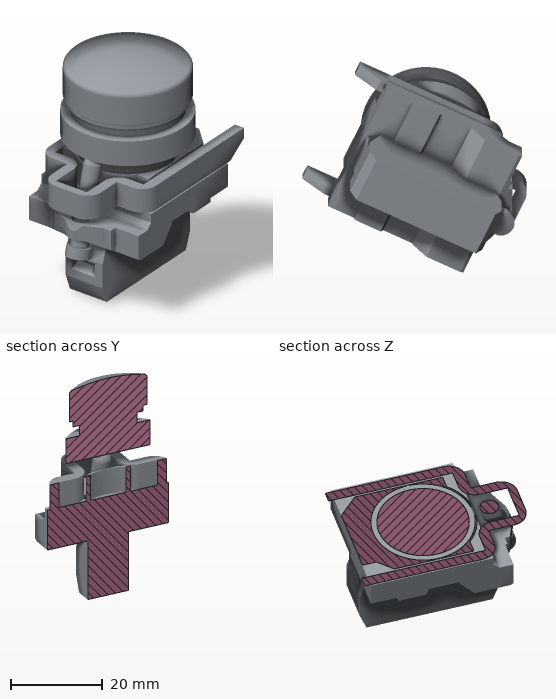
import cadquery as cq
import math


OVERALL_HEIGHT = 54.18

DOME_TOP = 20.0
DOME_RADIUS = 40.0
CAP_RADIUS = 14.25
CAP_FILLET = 1.0
CAP_BOTTOM = 9.95
STEP_RADIUS = 13.6
STEP_BOTTOM = 8.55
WAIST_RADIUS = 12.7
RING_RADIUS = 14.8
RING_HEIGHT = 6.15
NECK_RADIUS = 10.1
NECK_STEP = -3.67
NECK_FOOT_RADIUS = 10.15

LEVER_TOP = -4.15
LEVER_BOTTOM = -10.13
LEVER_HALF_WIDTH = 14.6
LEVER_THICKNESS = 2.52
LEVER_FRONT = -13.0
LEVER_BACK = 22.93
LEVER_TIP_HEIGHT = 2.5
LEVER_SLOPE_LENGTH = 5.05
LOOP_HALF_WIDTH = 6.75
LOOP_FRONT = -22.55
LOOP_FRONT_THICKNESS = 1.93
LEVER_CORNER_RADIUS = 3.75

COLLAR_TOP = -4.0
COLLAR_HALF_WIDTH = 11.65
COLLAR_SHOULDER = -8.1
COLLAR_NOSE_RADIUS = 11.85
COLLAR_FRONT = -11.5
LEFT_NOTCH_X = -8.5
LEFT_NOTCH_Y = 13.3
CORNER_CUT = 4.5
COLLAR_BORE_RADIUS = 11.35

BASE_HALF_WIDTH = 14.95
BASE_BACK = 16.5
BASE_FRONT = -16.15
BASE_BOTTOM = -19.95
BASE_BACK_BOTTOM = -15.88
FOOT_BACK = 10.2
FOOT_FRONT = 3.86
FOOT_BOTTOM = -16.93
NOTCH_BACK = 3.2
NOTCH_FRONT = -3.85
NOTCH_TOP = -15.35
SHELF_SLOPE_END = -7.22
SHELF_TOP = -13.62
SHELF_BACK = -12.95
SHELF_CHAMFER_TOP = -12.25
UNDERCUT_START = -15.45
UNDERCUT_END = -19.5
TAB_HALF_WIDTH = 8.65
LEFT_TAB_FRONT = -16.72
NOSE_SIDE = -17.77
NOSE_FRONT = -20.35
NOSE_FLAT_HALF_WIDTH = 0.82
NOSE_BOTTOM = -17.5
NOSE_CHAMFER_BOTTOM = -15.18
NOSE_CHAMFER_BACK = -19.68
SCREW_HOLE_RADIUS = 2.15
SCREW_HOLE_Y = -17.07

BLOCK_HALF_WIDTH = 5.03
BLOCK_HALF_LENGTH = 15.95
BLOCK_BOTTOM = DOME_TOP - OVERALL_HEIGHT
LOWER_BEVEL_TOP = -30.1
UPPER_BEVEL_BOTTOM = -24.1
UPPER_BEVEL_SLOPE = 0.335
LOWER_BEVEL_DEPTH = 1.52
BLOCK_TOP = NOTCH_TOP
SLOT_LEFT = -3.44
SLOT_RIGHT = 2.94
SLOT_TOP = -24.64
SLOT_BOTTOM = -28.0
SLOT_DEPTH = 2.85
SLOT_TILT = 18.5

SCREW_TILT = 15.0
SCREW_X = 0.08
SCREW_HEAD_Y = -18.54
SCREW_HEAD_Z = -22.6
SCREW_HEAD_RADIUS = 2.8
SCREW_HEAD_HEIGHT = 2.5
SHANK_RADIUS = 2.05
SHANK_END = 21.45
SCREW_TIP_HEIGHT = 1.75


def make_head():
    """Stepped round head with a domed cap whose rim is rounded tangent to dome and side.

    The neck goes down through the collar bore and stands on the base.
    """
    dome_center = DOME_TOP - DOME_RADIUS
    rim_r = CAP_RADIUS - CAP_FILLET
    rim_z = dome_center + math.sqrt((DOME_RADIUS - CAP_FILLET) ** 2 - rim_r ** 2)
    edge_angle = math.asin(rim_r / (DOME_RADIUS - CAP_FILLET))

    def dome_point(angle):
        return (DOME_RADIUS * math.sin(angle), dome_center + DOME_RADIUS * math.cos(angle))

    def rim_point(angle):
        return (rim_r + CAP_FILLET * math.sin(angle), rim_z + CAP_FILLET * math.cos(angle))

    return (
        cq.Workplane("XZ")
        .moveTo(0, LEVER_BOTTOM)
        .lineTo(NECK_FOOT_RADIUS, LEVER_BOTTOM)
        .lineTo(NECK_FOOT_RADIUS, NECK_STEP)
        .lineTo(NECK_RADIUS, NECK_STEP)
        .lineTo(NECK_RADIUS, 0)
        .lineTo(RING_RADIUS, 0)
        .lineTo(RING_RADIUS, RING_HEIGHT)
        .lineTo(WAIST_RADIUS, RING_HEIGHT)
        .lineTo(WAIST_RADIUS, STEP_BOTTOM)
        .lineTo(STEP_RADIUS, STEP_BOTTOM)
        .lineTo(STEP_RADIUS, CAP_BOTTOM)
        .lineTo(CAP_RADIUS, CAP_BOTTOM)
        .lineTo(*rim_point(math.pi / 2))
        .threePointArc(rim_point((math.pi / 2 + edge_angle) / 2), dome_point(edge_angle))
        .threePointArc(dome_point(edge_angle / 2), dome_point(0))
        .close()
        .revolve(360, (0, 0, 0), (0, 1, 0))
    )


def make_lever():
    """U-shaped strip around the collar, with a narrower loop in front for the screw."""
    height = LEVER_TOP - LEVER_BOTTOM
    level = cq.Workplane("XY", origin=(0, 0, LEVER_BOTTOM))

    def frame(half_width, front, loop_half_width, loop_front):
        return level.polyline([
            (-half_width, LEVER_BACK),
            (-half_width, front),
            (-loop_half_width, front),
            (-loop_half_width, loop_front),
            (loop_half_width, loop_front),
            (loop_half_width, front),
            (half_width, front),
            (half_width, LEVER_BACK),
        ]).close().extrude(height)

    def round_corners(solid, half_width, y):
        for x in (-half_width, half_width):
            corner = cq.selectors.NearestToPointSelector((x, y, LEVER_BOTTOM + height / 2))
            solid = solid.edges("|Z").edges(corner).fillet(LEVER_CORNER_RADIUS)
        return solid

    inner_loop_half_width = LOOP_HALF_WIDTH - LEVER_THICKNESS
    inner_front = LEVER_FRONT + LEVER_THICKNESS
    outside = frame(LEVER_HALF_WIDTH, LEVER_FRONT, LOOP_HALF_WIDTH, LOOP_FRONT)
    outside = round_corners(outside, LEVER_HALF_WIDTH, LEVER_FRONT)
    outside = round_corners(outside, LOOP_HALF_WIDTH, LOOP_FRONT)
    inside = frame(
        LEVER_HALF_WIDTH - LEVER_THICKNESS,
        inner_front,
        inner_loop_half_width,
        LOOP_FRONT + LOOP_FRONT_THICKNESS,
    )
    inside = round_corners(inside, inner_loop_half_width, inner_front)

    side_profile = (
        cq.Workplane("YZ")
        .polyline([
            (LEVER_BACK, LEVER_TOP),
            (LEVER_BACK, LEVER_TOP - LEVER_TIP_HEIGHT),
            (LEVER_BACK - LEVER_SLOPE_LENGTH, LEVER_BOTTOM),
            (LOOP_FRONT, LEVER_BOTTOM),
            (LOOP_FRONT, LEVER_TOP),
        ])
        .close()
        .extrude(LEVER_HALF_WIDTH, both=True)
    )
    return outside.cut(inside).intersect(side_profile)


def make_collar():
    """Raised collar between the lever arms, with a rounded front and a bore around the neck."""
    shoulder_x = math.sqrt(COLLAR_NOSE_RADIUS ** 2 - COLLAR_SHOULDER ** 2)
    front_x = math.sqrt(COLLAR_NOSE_RADIUS ** 2 - COLLAR_FRONT ** 2)
    arc_angle = (math.atan2(shoulder_x, -COLLAR_SHOULDER) + math.atan2(front_x, -COLLAR_FRONT)) / 2
    arc_x = COLLAR_NOSE_RADIUS * math.sin(arc_angle)
    arc_y = -COLLAR_NOSE_RADIUS * math.cos(arc_angle)
    notch_drop = COLLAR_HALF_WIDTH + LEFT_NOTCH_X
    plate = (
        cq.Workplane("XY", origin=(0, 0, LEVER_BOTTOM))
        .moveTo(-COLLAR_HALF_WIDTH, COLLAR_SHOULDER)
        .lineTo(-shoulder_x, COLLAR_SHOULDER)
        .threePointArc((-arc_x, arc_y), (-front_x, COLLAR_FRONT))
        .lineTo(front_x, COLLAR_FRONT)
        .threePointArc((arc_x, arc_y), (shoulder_x, COLLAR_SHOULDER))
        .lineTo(COLLAR_HALF_WIDTH, COLLAR_SHOULDER)
        .lineTo(COLLAR_HALF_WIDTH, BASE_BACK - CORNER_CUT)
        .lineTo(COLLAR_HALF_WIDTH - CORNER_CUT, BASE_BACK)
        .lineTo(LEFT_NOTCH_X, BASE_BACK)
        .lineTo(LEFT_NOTCH_X, LEFT_NOTCH_Y)
        .lineTo(-COLLAR_HALF_WIDTH, LEFT_NOTCH_Y - notch_drop)
        .close()
        .extrude(COLLAR_TOP - LEVER_BOTTOM)
    )
    bore = (
        cq.Workplane("XY", origin=(0, 0, LEVER_BOTTOM))
        .circle(COLLAR_BORE_RADIUS)
        .extrude(COLLAR_TOP - LEVER_BOTTOM)
    )
    return plate.cut(bore)


def make_base():
    """Stepped side profile, cut to a plan with two front tabs and a tapered nose.

    A vertical screw hole passes through the nose.
    """
    side = (
        cq.Workplane("YZ")
        .polyline([
            (BASE_BACK, LEVER_BOTTOM),
            (BASE_BACK, BASE_BACK_BOTTOM),
            (FOOT_BACK, BASE_BACK_BOTTOM),
            (FOOT_BACK, FOOT_BOTTOM),
            (FOOT_FRONT, FOOT_BOTTOM),
            (NOTCH_BACK, NOTCH_TOP),
            (NOTCH_FRONT, NOTCH_TOP),
            (NOTCH_FRONT, BASE_BACK_BOTTOM),
            (SHELF_SLOPE_END, BASE_BOTTOM),
            (UNDERCUT_START, BASE_BOTTOM),
            (UNDERCUT_END, NOSE_BOTTOM),
            (NOSE_FRONT, NOSE_BOTTOM),
            (NOSE_FRONT, NOSE_CHAMFER_BOTTOM),
            (NOSE_CHAMFER_BACK, SHELF_TOP),
            (SHELF_BACK, SHELF_TOP),
            (COLLAR_FRONT, SHELF_CHAMFER_TOP),
            (COLLAR_FRONT, LEVER_BOTTOM),
        ])
        .close()
        .extrude(BASE_HALF_WIDTH, both=True)
    )
    plan = (
        cq.Workplane("XY", origin=(0, 0, BASE_BOTTOM))
        .polyline([
            (-BASE_HALF_WIDTH, BASE_BACK),
            (-BASE_HALF_WIDTH, BASE_FRONT),
            (-TAB_HALF_WIDTH, BASE_FRONT),
            (-TAB_HALF_WIDTH, LEFT_TAB_FRONT),
            (-LOOP_HALF_WIDTH, LEFT_TAB_FRONT),
            (-LOOP_HALF_WIDTH, NOSE_SIDE),
            (-NOSE_FLAT_HALF_WIDTH, NOSE_FRONT),
            (NOSE_FLAT_HALF_WIDTH, NOSE_FRONT),
            (LOOP_HALF_WIDTH, NOSE_SIDE),
            (TAB_HALF_WIDTH, NOSE_SIDE),
            (TAB_HALF_WIDTH, BASE_FRONT),
            (BASE_HALF_WIDTH, BASE_FRONT),
            (BASE_HALF_WIDTH, BASE_BACK),
        ])
        .close()
        .extrude(LEVER_BOTTOM - BASE_BOTTOM)
    )
    screw_hole = (
        cq.Workplane("XY", origin=(SCREW_X, SCREW_HOLE_Y, BASE_BOTTOM))
        .circle(SCREW_HOLE_RADIUS)
        .extrude(LEVER_BOTTOM - BASE_BOTTOM)
    )
    return side.intersect(plan).cut(screw_hole)


def make_contact_block():
    """Beveled block with a sloping slot in front and a narrow back rib filling the back bevel."""
    upper_bevel_run = (BLOCK_TOP - UPPER_BEVEL_BOTTOM) * UPPER_BEVEL_SLOPE
    top_half_length = BLOCK_HALF_LENGTH - upper_bevel_run
    half_outline = [
        (top_half_length, BLOCK_TOP),
        (BLOCK_HALF_LENGTH, UPPER_BEVEL_BOTTOM),
        (BLOCK_HALF_LENGTH, LOWER_BEVEL_TOP),
        (BLOCK_HALF_LENGTH - LOWER_BEVEL_DEPTH, BLOCK_BOTTOM),
    ]
    mirrored_half = [(-y, z) for y, z in reversed(half_outline)]
    block = (
        cq.Workplane("YZ")
        .polyline(half_outline + mirrored_half)
        .close()
        .extrude(BLOCK_HALF_WIDTH, both=True)
    )

    slot_width = SLOT_RIGHT - SLOT_LEFT
    slot_center_x = (SLOT_LEFT + SLOT_RIGHT) / 2
    rib_height = BLOCK_TOP - UPPER_BEVEL_BOTTOM
    rib = cq.Workplane("XY").box(slot_width, upper_bevel_run, rib_height).translate((
        slot_center_x,
        BLOCK_HALF_LENGTH - upper_bevel_run / 2,
        UPPER_BEVEL_BOTTOM + rib_height / 2,
    ))

    slot_height = (SLOT_TOP - SLOT_BOTTOM) * math.cos(math.radians(SLOT_TILT))
    slot = (
        cq.Workplane("XY")
        .box(slot_width, 2 * SLOT_DEPTH, slot_height, centered=(True, True, False))
        .rotate((0, 0, 0), (1, 0, 0), SLOT_TILT)
        .translate((slot_center_x, -BLOCK_HALF_LENGTH, SLOT_BOTTOM))
    )
    return block.union(rib).cut(slot)


def make_screw():
    """Round-tipped screw standing on its head, then leaned back toward the collar."""
    tip_sphere_radius = (SHANK_RADIUS ** 2 + SCREW_TIP_HEIGHT ** 2) / (2 * SCREW_TIP_HEIGHT)
    tip_center = SHANK_END + SCREW_TIP_HEIGHT - tip_sphere_radius
    mid_angle = math.atan2(SHANK_RADIUS, SHANK_END - tip_center) / 2
    tip_middle = (
        tip_sphere_radius * math.sin(mid_angle),
        tip_center + tip_sphere_radius * math.cos(mid_angle),
    )
    return (
        cq.Workplane("XZ")
        .lineTo(SCREW_HEAD_RADIUS, 0)
        .lineTo(SCREW_HEAD_RADIUS, SCREW_HEAD_HEIGHT)
        .lineTo(SHANK_RADIUS, SCREW_HEAD_HEIGHT)
        .lineTo(SHANK_RADIUS, SHANK_END)
        .threePointArc(tip_middle, (0, SHANK_END + SCREW_TIP_HEIGHT))
        .close()
        .revolve(360, (0, 0, 0), (0, 1, 0))
        .rotate((0, 0, 0), (1, 0, 0), -SCREW_TILT)
        .translate((SCREW_X, SCREW_HEAD_Y, SCREW_HEAD_Z))
    )


def make_mounting_body():
    """Base, collar, lever, contact block and screw joined as one solid."""
    body = make_base().union(make_collar()).union(make_contact_block())
    return body.union(make_lever()).union(make_screw())


operator_head = make_head()
mounting_body = make_mounting_body()

result = cq.Compound.makeCompound([operator_head.val(), *mounting_body.vals()])